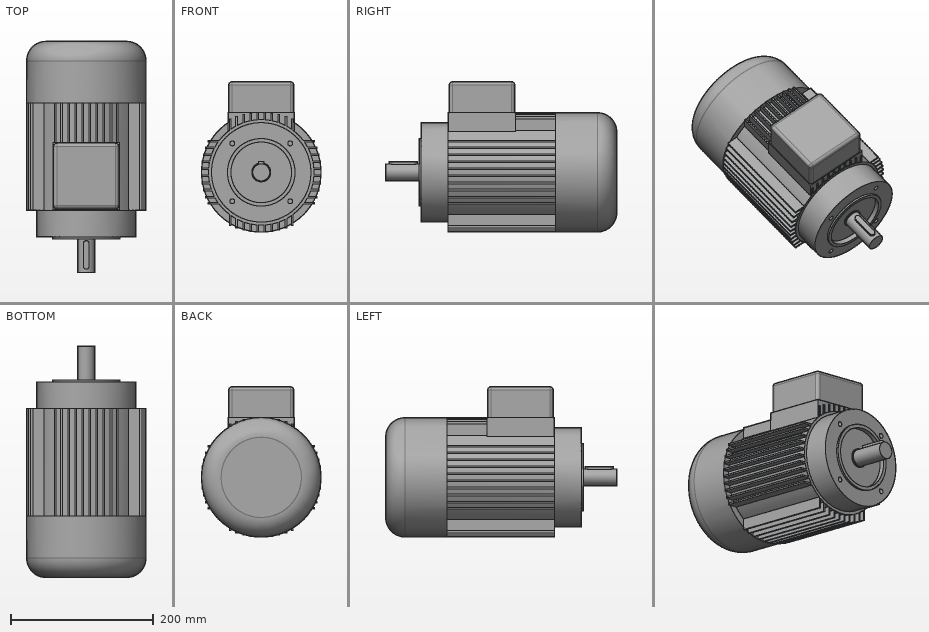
import cadquery as cq
import math


shaft_length = 50.0
flange_length = 37.5
fin_length = 151.0
total_length = 325.0
cowl_front = flange_length + fin_length
cowl_length = total_length - shaft_length - cowl_front

cowl_diameter = 168.0
cowl_radius = cowl_diameter / 2
cowl_round = 27.5
core_radius = 74.0
fin_count = 10
even_fin_span = 69.5
fin_pitch = even_fin_span / (fin_count - 3)
fin_thickness = 2.3
outer_fin_offset = 43.5
fin_tip_arc_radius = 107.2

flange_radius = 70.0
spigot_radius = 47.5
spigot_height = 3.0
recess_radius = 42.5
recess_depth = 7.0
bolt_count = 4
bolt_start_angle = 45
bolt_circle_radius = 57.5
bolt_hole_diameter = 6.8
bolt_hole_depth = flange_length

shaft_radius = 12.0
collar_radius = 13.3
collar_length = 2.0
key_width = 8.0
key_length = 40.0
key_top = 15.0
key_tip_gap = 5.0

base_width = 93.0
base_length = 94.2
base_setback = 1.0
base_top = cowl_radius
box_width = 91.5
box_length = 92.3
box_top = 127.5
box_round = 5.0


def cylinder(radius, start, length):
    """Cylinder on the motor axis, from Y = start towards +Y."""
    return cq.Workplane("XZ", origin=(0, start, 0)).circle(radius).extrude(-length)


def fin_offset(index):
    """Distance of a fin from the motor's mid-plane; the outermost fins sit a little closer in."""
    offset = (index - (fin_count - 1) / 2) * fin_pitch
    return max(-outer_fin_offset, min(outer_fin_offset, offset))


def fin_tip(offset):
    """Reach of a fin, with all tips on an arc flatter than the body."""
    arc_drop = fin_tip_arc_radius - math.sqrt(fin_tip_arc_radius**2 - offset**2)
    return cowl_radius - arc_drop


def make_body():
    """Round core with upright fins above and below and level fins at both sides."""
    body = cylinder(core_radius, flange_length, fin_length)
    fin_middle = flange_length + fin_length / 2
    for index in range(fin_count):
        offset = fin_offset(index)
        span = 2 * fin_tip(offset)
        upright = cq.Workplane().box(fin_thickness, fin_length, span)
        level = cq.Workplane().box(span, fin_length, fin_thickness)
        body = body.union(upright.translate((offset, fin_middle, 0)))
        body = body.union(level.translate((0, fin_middle, offset)))
    return body


def make_cowl():
    cowl = cylinder(cowl_radius, cowl_front, cowl_length)
    return cowl.faces(">Y").edges().fillet(cowl_round)


def make_flange():
    """Flange with a raised, recessed spigot and four bolt holes on the diagonals."""
    flange = cylinder(flange_radius, 0, flange_length)
    flange = flange.union(cylinder(spigot_radius, -spigot_height, flange_length))
    flange = flange.cut(cylinder(recess_radius, -spigot_height, recess_depth))
    holes = (
        cq.Workplane("XZ")
        .polarArray(bolt_circle_radius, bolt_start_angle, 360, bolt_count)
        .circle(bolt_hole_diameter / 2)
        .extrude(-bolt_hole_depth)
    )
    return flange.cut(holes)


def make_shaft():
    """Shaft with a round-ended key and a low collar on the recess floor."""
    recess_floor = recess_depth - spigot_height
    shaft = cylinder(shaft_radius, -shaft_length, shaft_length + flange_length)
    collar = cylinder(collar_radius, recess_floor - collar_length, flange_length)
    key_middle = -shaft_length + key_tip_gap + key_length / 2
    key = (
        cq.Workplane("XY", origin=(0, key_middle, 0))
        .slot2D(key_length, key_width, 90)
        .extrude(key_top)
    )
    return shaft.union(collar).union(key)


def make_terminal_box():
    """Box with rounded corners and lid edge on a plain base that grows out of the body."""
    base_middle = flange_length + base_setback + base_length / 2
    base = (
        cq.Workplane("XY", origin=(0, base_middle, 0))
        .rect(base_width, base_length)
        .extrude(base_top)
    )
    box = (
        cq.Workplane("XY", origin=(0, base_middle, base_top))
        .rect(box_width, box_length)
        .extrude(box_top - base_top)
        .edges("|Z or >Z")
        .fillet(box_round)
    )
    return base.union(box)


result = (
    make_body()
    .union(make_cowl())
    .union(make_flange())
    .union(make_terminal_box())
    .union(make_shaft())
)